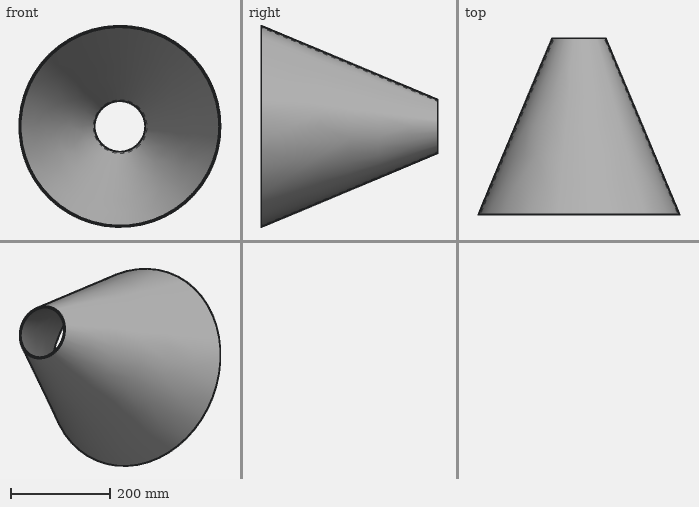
import cadquery as cq

wide_diameter = 406.5
narrow_diameter = 108.0
length = 356.0
radial_wall = 3.3

wide_radius = wide_diameter / 2
narrow_radius = narrow_diameter / 2

wall_section = (
    cq.Workplane("XY")
    .moveTo(wide_radius - radial_wall, 0)
    .lineTo(wide_radius, 0)
    .lineTo(narrow_radius, length)
    .lineTo(narrow_radius - radial_wall, length)
    .close()
)

result = wall_section.revolve(360, (0, 0, 0), (0, 1, 0))